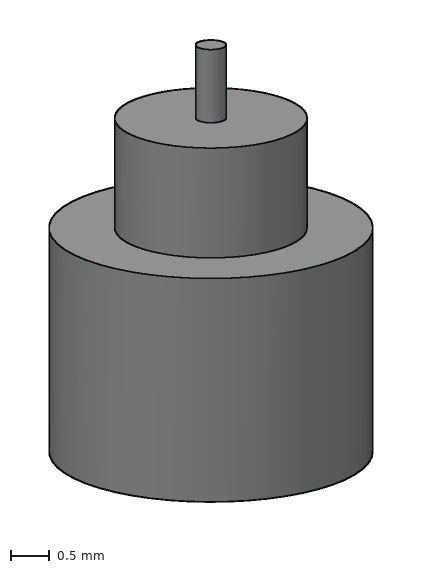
import cadquery as cq

total_height = 5.55
body_diameter = 4.2

neck_diameter = 2.5
neck_height = 1.5
pin_diameter = 0.4
pin_height = 1.0

body_height = total_height - neck_height - pin_height


def add_cylinder_on_top(part, diameter, height):
    """Stack a coaxial cylinder on the highest face of the part."""
    return part.faces(">Z").workplane().circle(diameter / 2).extrude(height)


body = cq.Workplane("XY").circle(body_diameter / 2).extrude(body_height)
body_with_neck = add_cylinder_on_top(body, neck_diameter, neck_height)
result = add_cylinder_on_top(body_with_neck, pin_diameter, pin_height)